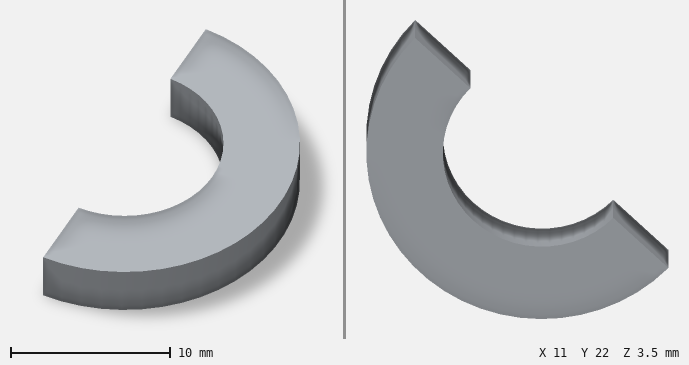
import cadquery as cq

outer_radius = 11.0
inner_radius = 6.2
thickness = 3.5

profile = (
    cq.Workplane("XY")
    .moveTo(0, -outer_radius)
    .threePointArc((outer_radius, 0), (0, outer_radius))
    .lineTo(0, inner_radius)
    .threePointArc((inner_radius, 0), (0, -inner_radius))
    .close()
)

result = profile.extrude(thickness)